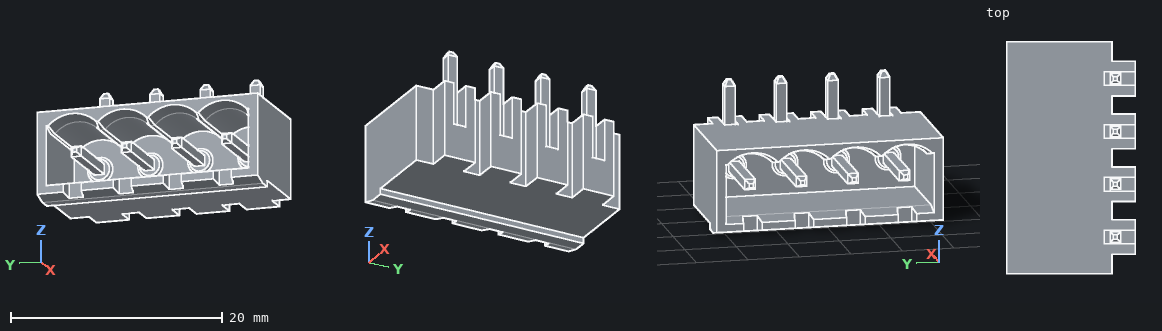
import cadquery as cq


POLE_COUNT = 4
PITCH = 5.0
POLE_POSITIONS = [(i - (POLE_COUNT - 1) / 2) * PITCH for i in range(POLE_COUNT)]

END_MARGIN = 3.5
WIDTH = (POLE_COUNT - 1) * PITCH + 2 * END_MARGIN
BODY_DEPTH = 10.0
TOTAL_DEPTH = 12.2
HEIGHT = 8.45
BASE_Z = 0.6
LIP_DEPTH = 2.95
LIP_SLOPE_DEPTH = 1.5
LIP_SLOPE_RISE = 0.4

RIB_WIDTH = 3.3
SLOT_WIDTH = 1.3
SLOT_FRONT_X = 9.25

SIDE_WALL = 0.9
CAVITY_WIDTH = WIDTH - 2 * SIDE_WALL
CAVITY_DEPTH = 8.4
FLOOR_Z = 1.6
CEILING_Z = 6.6
SCALLOP_RADIUS = 2.97
LEAD_IN_DEPTH = 1.4
LEAD_IN_FLARE = 0.43

NOTCH_DEPTH = 1.2
NOTCH_MOUTH_WIDTH = 1.8
NOTCH_INNER_WIDTH = 1.4

PIN_SIZE = 1.0
PIN_AXIS_Z = 4.63
PIN_TIP_X = 0.7
PIN_TAIL_X = 10.3
PIN_TOP_Z = 12.6
POINT_LENGTH = 0.55
POINT_SIZE = 0.4

COLLAR_BASE_RADIUS = 1.25
COLLAR_TOP_RADIUS = 1.0
COLLAR_HEIGHT = COLLAR_BASE_RADIUS - COLLAR_TOP_RADIUS


def block(x_range, y_center, y_width, z_range):
    """Box between two X values and two Z values, centred on y_center."""
    x_length = x_range[1] - x_range[0]
    z_length = z_range[1] - z_range[0]
    corner = (x_range[0], y_center - y_width / 2, z_range[0])
    return cq.Workplane("XY").box(x_length, y_width, z_length, centered=False).translate(corner)


def side_profile(points, width):
    """XZ outline extruded symmetrically about Y = 0."""
    return cq.Workplane("XZ").polyline(points).close().extrude(width / 2, both=True)


def cone_along_x(start_x, y, start_radius, end_radius, length):
    """Cone frustum on a pin axis, running towards +X."""
    base = cq.Vector(start_x, y, PIN_AXIS_Z)
    return cq.Workplane(cq.Solid.makeCone(start_radius, end_radius, length, base, cq.Vector(1, 0, 0)))


def make_shell():
    outline = [
        (0, LIP_SLOPE_RISE),
        (LIP_SLOPE_DEPTH, 0),
        (LIP_DEPTH, 0),
        (LIP_DEPTH, BASE_Z),
        (BODY_DEPTH, BASE_Z),
        (BODY_DEPTH, HEIGHT),
        (0, HEIGHT),
    ]
    shell = side_profile(outline, WIDTH)
    for y in POLE_POSITIONS:
        shell = shell.union(block((SLOT_FRONT_X, TOTAL_DEPTH), y, RIB_WIDTH, (BASE_Z, HEIGHT)))
    return shell


def make_cavity():
    """Flared rectangular pocket with a scalloped ceiling over each pole."""
    outline = [
        (0, FLOOR_Z - LEAD_IN_FLARE),
        (LEAD_IN_DEPTH, FLOOR_Z),
        (CAVITY_DEPTH, FLOOR_Z),
        (CAVITY_DEPTH, CEILING_Z),
        (LEAD_IN_DEPTH, CEILING_Z),
        (0, CEILING_Z + LEAD_IN_FLARE),
    ]
    cavity = side_profile(outline, CAVITY_WIDTH)
    between_walls = block((0, CAVITY_DEPTH), 0, CAVITY_WIDTH, (PIN_AXIS_Z, HEIGHT))
    mouth_radius = SCALLOP_RADIUS + LEAD_IN_FLARE
    straight_depth = CAVITY_DEPTH - LEAD_IN_DEPTH
    for y in POLE_POSITIONS:
        flare = cone_along_x(0, y, mouth_radius, SCALLOP_RADIUS, LEAD_IN_DEPTH)
        straight = (
            cq.Workplane("YZ", origin=(LEAD_IN_DEPTH, y, PIN_AXIS_Z))
            .circle(SCALLOP_RADIUS)
            .extrude(straight_depth)
        )
        cavity = cavity.union(flare.intersect(between_walls))
        cavity = cavity.union(straight.intersect(between_walls))
    return cavity


def make_notch(y):
    """Tapered notch through the lip, from the underside into the cavity."""
    outline = [
        (0, y - NOTCH_MOUTH_WIDTH / 2),
        (NOTCH_DEPTH, y - NOTCH_INNER_WIDTH / 2),
        (NOTCH_DEPTH, y + NOTCH_INNER_WIDTH / 2),
        (0, y + NOTCH_MOUTH_WIDTH / 2),
    ]
    return cq.Workplane("XY").polyline(outline).close().extrude(FLOOR_Z)


def make_slot(y):
    """Tail slot: a ledge level with the pin's top face, then a floor level with its bottom face."""
    ledge_z = PIN_AXIS_Z + PIN_SIZE / 2
    floor_z = PIN_AXIS_Z - PIN_SIZE / 2
    floor_x = PIN_TAIL_X - PIN_SIZE / 2
    upper = block((SLOT_FRONT_X, TOTAL_DEPTH), y, SLOT_WIDTH, (ledge_z, HEIGHT))
    lower = block((floor_x, TOTAL_DEPTH), y, SLOT_WIDTH, (floor_z, HEIGHT))
    return upper.union(lower)


def make_point(plane):
    """Pyramid frustum that ends a pin, growing along the plane normal."""
    return (
        cq.Workplane(plane)
        .rect(PIN_SIZE, PIN_SIZE)
        .workplane(offset=POINT_LENGTH)
        .rect(POINT_SIZE, POINT_SIZE)
        .loft(ruled=True)
    )


def make_pin(y):
    """Bent square pin: contact along X, tail along Z, both pointed."""
    half = PIN_SIZE / 2
    contact_x = PIN_TIP_X + POINT_LENGTH
    tail_z = PIN_TOP_Z - POINT_LENGTH
    bottom_z = PIN_AXIS_Z - half
    back_x = PIN_TAIL_X + half
    contact = block((contact_x, back_x), y, PIN_SIZE, (bottom_z, PIN_AXIS_Z + half))
    tail = block((PIN_TAIL_X - half, back_x), y, PIN_SIZE, (bottom_z, tail_z))
    contact_plane = cq.Plane(origin=(contact_x, y, PIN_AXIS_Z), xDir=(0, 1, 0), normal=(-1, 0, 0))
    tail_plane = cq.Plane(origin=(PIN_TAIL_X, y, tail_z), xDir=(1, 0, 0), normal=(0, 0, 1))
    return contact.union(tail).union(make_point(contact_plane)).union(make_point(tail_plane))


def make_collar(y):
    collar_x = CAVITY_DEPTH - COLLAR_HEIGHT
    return cone_along_x(collar_x, y, COLLAR_TOP_RADIUS, COLLAR_BASE_RADIUS, COLLAR_HEIGHT)


result = make_shell().cut(make_cavity())
for pole_y in POLE_POSITIONS:
    result = result.cut(make_notch(pole_y)).cut(make_slot(pole_y))
    result = result.union(make_collar(pole_y)).union(make_pin(pole_y))